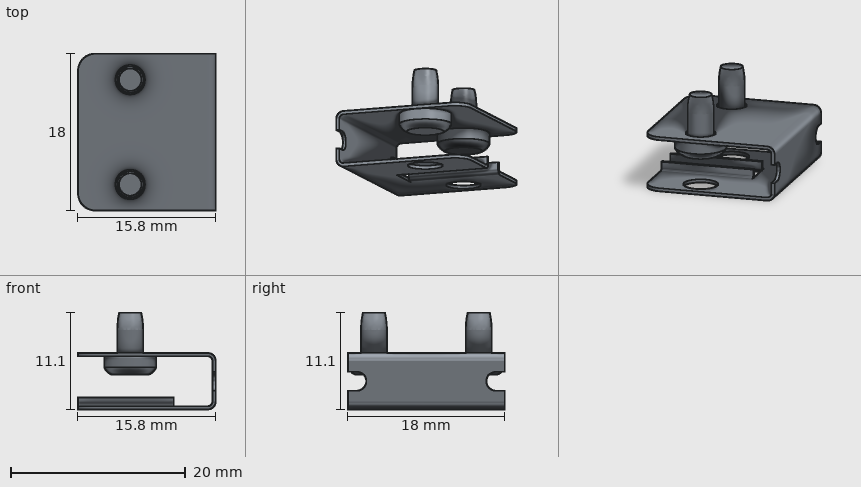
import cadquery as cq
import math

clip_length = 15.8
clip_width = 18.0
clip_height = 6.5
sheet = 0.4
bend_inner_radius = 0.54
bend_outer_radius = bend_inner_radius + sheet
corner_radius = 2.0
upper_underside = clip_height - sheet

slot_length = 11.0
slot_width = 3.0
lip_height = 1.4
lip_inner_radius = 0.27
lip_outer_radius = lip_inner_radius + sheet

notch_depth = 2.1
notch_height = 2.16

pin_x = 6.0
pin_pitch = 12.0
pin_diameter = 3.0
pin_hole_diameter = 3.4
access_hole_diameter = 4.0
total_height = 11.1
tip_diameter = 2.55
tip_length = 1.98

head_diameter = 6.0
head_height = 2.1
head_rim_height = 1.26
head_end_diameter = 4.21
head_top_fillet = 0.15
head_dome_bulge = 0.13

pin_places = [(pin_x, -pin_pitch / 2), (pin_x, pin_pitch / 2)]


def make_folded_sheet():
    """Upper leaf, back wall and lower leaf, with rounded bends and free corners."""
    outside = (
        cq.Workplane("XY")
        .box(clip_length, clip_width, clip_height, centered=(False, True, False))
        .edges("|Y and >X")
        .fillet(bend_outer_radius)
    )
    inside = (
        cq.Workplane("XY")
        .box(clip_length - sheet, clip_width, clip_height - 2 * sheet, centered=(False, True, False))
        .edges("|Y and >X")
        .fillet(bend_inner_radius)
        .translate((0, 0, sheet))
    )
    return outside.cut(inside).edges("|Z and <X").fillet(corner_radius)


def make_lip():
    """Upturned lip on the +Y side of the slot, joining the lower leaf through a bend."""
    lip_face = slot_width / 2
    bend_end = lip_face + lip_outer_radius
    diagonal = math.sqrt(0.5)
    outer_middle = bend_end - lip_outer_radius * diagonal
    inner_middle = bend_end - lip_inner_radius * diagonal
    return (
        cq.Workplane("YZ")
        .moveTo(bend_end, 0)
        .threePointArc(
            (outer_middle, lip_outer_radius * (1 - diagonal)),
            (lip_face, lip_outer_radius),
        )
        .lineTo(lip_face, lip_height)
        .lineTo(lip_face + sheet, lip_height)
        .lineTo(lip_face + sheet, lip_outer_radius)
        .threePointArc(
            (inner_middle, lip_outer_radius - lip_inner_radius * diagonal),
            (bend_end, sheet),
        )
        .close()
        .extrude(slot_length)
    )


def make_notches():
    """Slots through the back wall, each centred on a side edge so that half of it cuts the wall."""
    return (
        cq.Workplane("YZ", origin=(clip_length - bend_outer_radius, 0, clip_height / 2))
        .pushPoints([(-clip_width / 2, 0), (clip_width / 2, 0)])
        .slot2D(2 * notch_depth, notch_height)
        .extrude(bend_outer_radius)
    )


def make_clip():
    slot_cut_width = slot_width + 2 * lip_outer_radius
    slot_cut = cq.Workplane("XY").box(slot_length, slot_cut_width, sheet, centered=(False, True, False))
    pin_holes = (
        cq.Workplane("XY", origin=(0, 0, upper_underside))
        .pushPoints(pin_places)
        .circle(pin_hole_diameter / 2)
        .extrude(sheet)
    )
    access_holes = (
        cq.Workplane("XY")
        .pushPoints(pin_places)
        .circle(access_hole_diameter / 2)
        .extrude(sheet)
    )
    lip = make_lip()
    return (
        make_folded_sheet()
        .cut(slot_cut)
        .union(lip)
        .union(lip.mirror("XZ"))
        .cut(make_notches())
        .cut(pin_holes)
        .cut(access_holes)
        .solids()
    )


def make_pin(place):
    """Headed pin turned about its own Z axis; the shank passes through the upper leaf."""
    pin_radius = pin_diameter / 2
    tip_radius = tip_diameter / 2
    tip_start = total_height - tip_length
    head_radius = head_diameter / 2
    head_end_radius = head_end_diameter / 2
    head_bottom = upper_underside - head_height
    rim_bottom = upper_underside - head_rim_height
    profile = (
        cq.Workplane("XZ")
        .moveTo(0, head_bottom)
        .lineTo(head_end_radius, head_bottom)
        .sagittaArc((head_radius, rim_bottom), -head_dome_bulge)
        .lineTo(head_radius, upper_underside - head_top_fillet)
        .radiusArc((head_radius - head_top_fillet, upper_underside), -head_top_fillet)
        .lineTo(pin_radius, upper_underside)
        .lineTo(pin_radius, tip_start)
        .tangentArcPoint((tip_radius, total_height), relative=False)
        .lineTo(0, total_height)
        .close()
    )
    return profile.revolve(360, (0, 0, 0), (0, 1, 0)).translate((*place, 0))


clip = make_clip()
pins = [make_pin(place) for place in pin_places]
result = cq.Compound.makeCompound([clip.val(), *[pin.val() for pin in pins]])